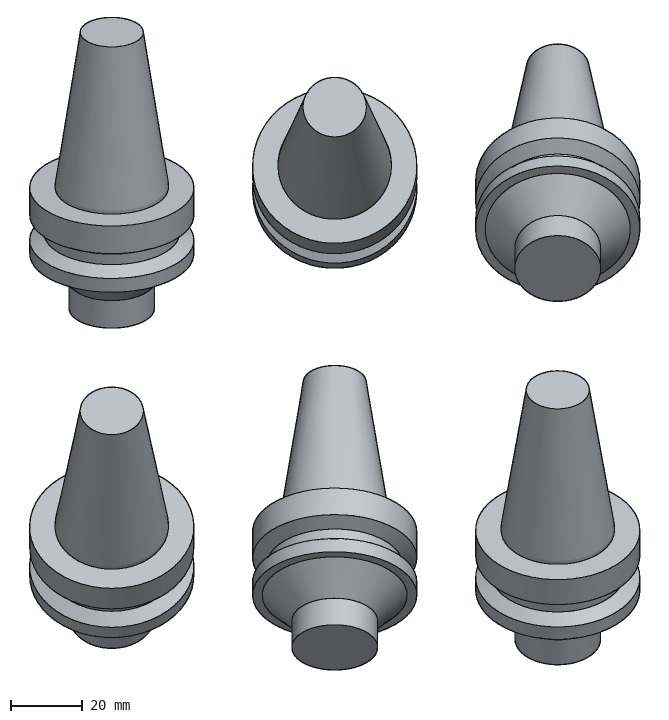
import cadquery as cq

nose_dia = 24.0
cone_dia = 40.55
flange_dia = 46.0
groove_dia = 38.0
gauge_dia = 31.7
taper_ratio = 7 / 24

nose_top = 8.7
flange_bottom = 17.2
lower_rim_top = 21.6
groove_floor_bottom = 23.9
groove_floor_top = 27.2
upper_rim_bottom = 29.45
flange_top = 38.2
taper_start = 39.2
total_height = 87.4

tip_dia = gauge_dia - taper_ratio * (total_height - taper_start)

profile = [
    (nose_dia, 0),
    (nose_dia, nose_top),
    (cone_dia, flange_bottom),
    (flange_dia, flange_bottom),
    (flange_dia, lower_rim_top),
    (groove_dia, groove_floor_bottom),
    (groove_dia, groove_floor_top),
    (flange_dia, upper_rim_bottom),
    (flange_dia, flange_top),
    (gauge_dia, flange_top),
    (gauge_dia, taper_start),
    (tip_dia, total_height),
]

half_section = cq.Workplane("XZ").moveTo(0, 0)
for diameter, height in profile:
    half_section = half_section.lineTo(diameter / 2, height)
half_section = half_section.lineTo(0, total_height).close()

result = half_section.revolve(360, (0, 0, 0), (0, 1, 0))